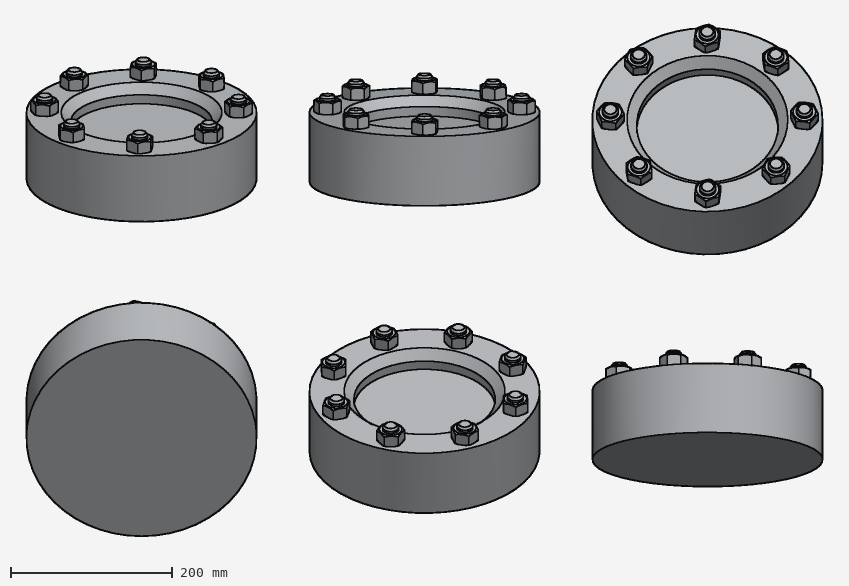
import cadquery as cq
import math

body_diameter = 285.0
body_height = 88.0
window_diameter = 175.0
window_depth = 24.0
window_rim_diameter = 199.0
window_taper_depth = 12.0

stud_count = 8
stud_circle_diameter = 240.0
stud_diameter = 20.0
stud_height = 22.0
stud_tip_diameter = 15.0
stud_tip_height = 3.0
nut_sides = 6
nut_across_flats = 30.0
nut_height = 16.0
nut_top_face_diameter = 28.0
nut_bottom_face_diameter = 31.4
nut_chamfer_angle = 30.0
nut_corner_angle = 15.0

stud_spacing = 360.0 / stud_count
nut_across_corners = nut_across_flats / math.cos(math.pi / nut_sides)


def revolve_profile(points):
    """Turn (radius, height) points about the Z axis."""
    return cq.Workplane("XZ").polyline(points).close().revolve(360, (0, 0, 0), (0, 1, 0))


def make_window():
    """Tapered entry above a straight-walled round recess."""
    floor_z = body_height - window_depth
    taper_z = body_height - window_taper_depth
    return revolve_profile([
        (0, floor_z),
        (window_diameter / 2, floor_z),
        (window_diameter / 2, taper_z),
        (window_rim_diameter / 2, body_height),
        (0, body_height),
    ])


def make_nut():
    """Hexagonal nut whose corners are turned off conically at both ends."""
    corner_radius = nut_across_corners / 2
    top_radius = nut_top_face_diameter / 2
    bottom_radius = nut_bottom_face_diameter / 2
    slope = math.tan(math.radians(nut_chamfer_angle))
    turned_blank = revolve_profile([
        (0, 0),
        (bottom_radius, 0),
        (corner_radius, (corner_radius - bottom_radius) * slope),
        (corner_radius, nut_height - (corner_radius - top_radius) * slope),
        (top_radius, nut_height),
        (0, nut_height),
    ])
    hexagon = cq.Workplane("XY").polygon(nut_sides, nut_across_corners).extrude(nut_height)
    return hexagon.intersect(turned_blank)


def make_stud():
    """Stud end with a conical tip."""
    return revolve_profile([
        (0, 0),
        (stud_diameter / 2, 0),
        (stud_diameter / 2, stud_height - stud_tip_height),
        (stud_tip_diameter / 2, stud_height),
        (0, stud_height),
    ])


result = cq.Workplane("XY").circle(body_diameter / 2).extrude(body_height).cut(make_window())

first_fastener = (
    make_nut()
    .union(make_stud())
    .rotate((0, 0, 0), (0, 0, 1), nut_corner_angle - stud_spacing / 2)
    .translate((stud_circle_diameter / 2, 0, body_height))
)
for index in range(stud_count):
    stud_angle = (index + 0.5) * stud_spacing
    result = result.union(first_fastener.rotate((0, 0, 0), (0, 0, 1), stud_angle))